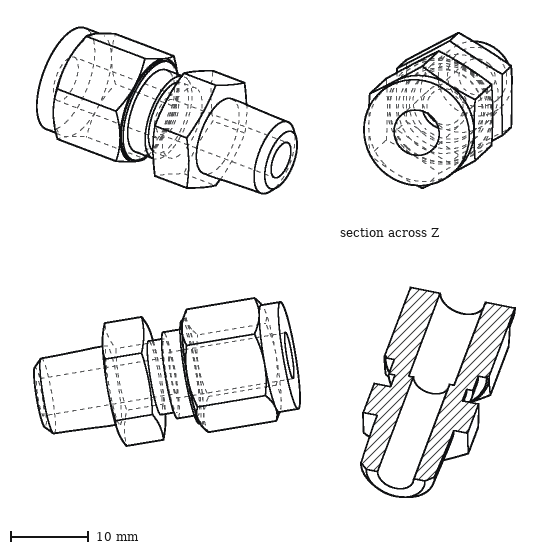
import cadquery as cq
import math


collar_end = 2.52
nut_end = 12.7
washer_end = 13.0
shoulder_end = 15.65
body_hex_start = 17.7
body_hex_end = 23.15
thread_start = 24.65
overall_length = 32.8

across_flats = 14.0
hex_sides = 6
across_corners = across_flats / math.cos(math.pi / hex_sides)
corner_direction = 90.0
nut_chamfer_angle = 30.0
body_chamfer_angle = 15.0

collar_diameter = across_flats
washer_diameter = 13.5
shoulder_diameter = 11.3
neck_diameter = 9.65
thread_diameter = 10.3
thread_taper = 1 / 16
end_chamfer = 1.0

tube_bore_diameter = 6.0
tube_bore_depth = 15.3
through_bore_diameter = 4.8


def cylinder(start, end, diameter):
    """Solid cylinder on the X axis between two stations."""
    return cq.Workplane("YZ", origin=(start, 0, 0)).circle(diameter / 2).extrude(end - start)


def revolve_about_x(profile_points):
    """Solid of revolution about X from (x, radius) points."""
    profile = cq.Workplane("XY").polyline(profile_points).close()
    return profile.revolve(360, (0, 0, 0), (1, 0, 0))


def chamfered_hex(start, end, chamfer_angle):
    """Hexagon whose corners are cut by cones that meet the flats at both end faces."""
    flat_radius = across_flats / 2
    corner_radius = across_corners / 2
    corner_setback = (corner_radius - flat_radius) * math.tan(math.radians(chamfer_angle))
    prism = (
        cq.Workplane("YZ", origin=(start, 0, 0))
        .transformed(rotate=(0, 0, corner_direction))
        .polygon(hex_sides, across_corners)
        .extrude(end - start)
    )
    envelope = revolve_about_x([
        (start, 0),
        (start, flat_radius),
        (start + corner_setback, corner_radius),
        (end - corner_setback, corner_radius),
        (end, flat_radius),
        (end, 0),
    ])
    return prism.intersect(envelope)


def threaded_end():
    """Straight run-out, tapered thread envelope and 45 degree end chamfer."""
    chamfer_start = overall_length - end_chamfer
    large_radius = thread_diameter / 2
    small_radius = large_radius - thread_taper * (chamfer_start - thread_start) / 2
    return revolve_about_x([
        (body_hex_end, 0),
        (body_hex_end, large_radius),
        (thread_start, large_radius),
        (chamfer_start, small_radius),
        (overall_length, small_radius - end_chamfer),
        (overall_length, 0),
    ])


outside = (
    cylinder(0, collar_end, collar_diameter)
    .union(chamfered_hex(collar_end, nut_end, nut_chamfer_angle))
    .union(cylinder(nut_end, washer_end, washer_diameter))
    .union(cylinder(washer_end, shoulder_end, shoulder_diameter))
    .union(cylinder(shoulder_end, body_hex_start, neck_diameter))
    .union(chamfered_hex(body_hex_start, body_hex_end, body_chamfer_angle))
    .union(threaded_end())
)

result = (
    outside
    .cut(cylinder(0, tube_bore_depth, tube_bore_diameter))
    .cut(cylinder(0, overall_length, through_bore_diameter))
)